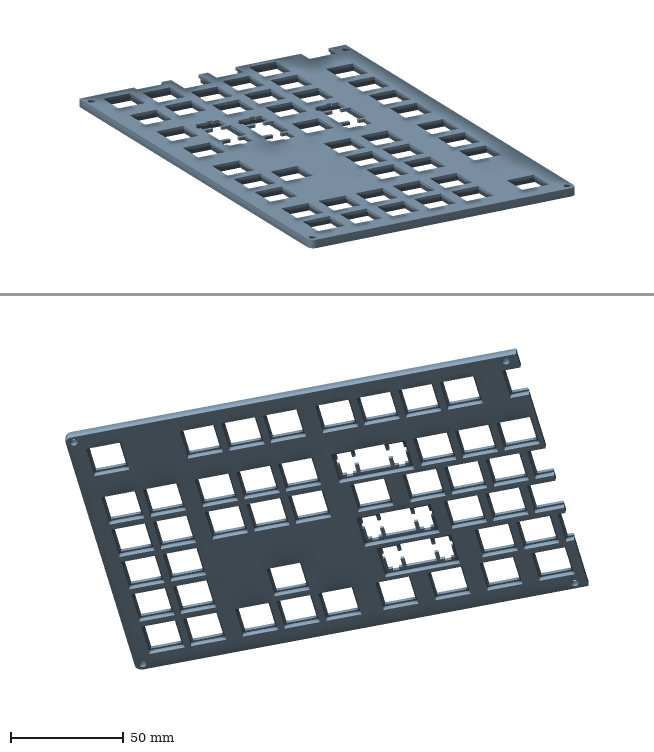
import cadquery as cq

LENGTH = 206.92
WIDTH = 136.63
THICKNESS = 4.0
CORNER_RADIUS = 3.0

UNIT = 19.05
SWITCH_SIZE = 14.0
CLIP_THICKNESS = 1.5
RELIEF_DEPTH = THICKNESS - CLIP_THICKNESS
RELIEF_SIZE = 16.0
GRID_HEIGHT_UNITS = 6.5
EDGE_MARGIN = (WIDTH - GRID_HEIGHT_UNITS * UNIT) / 2
LAST_COLUMN_X = LENGTH - EDGE_MARGIN - UNIT / 2
TOP_ROW_Y = WIDTH - EDGE_MARGIN - UNIT / 2

KEY_ROWS = [
    (0.0, [0, 2.25, 3.25, 4.25, 5.5, 6.5, 7.5, 8.5, 10]),
    (1.5, [0, 1, 2.25, 3.25, 4.25, 6, 7.5, 8.5, 9.5]),
    (2.5, [0, 1, 2.25, 3.25, 4.25, 5.75, 7, 8, 9, 10]),
    (3.5, [0, 1, 6.125, 7.75, 8.75, 9.75]),
    (4.5, [0, 1, 3.25, 6.375, 8.25, 9.25, 10.25]),
    (5.5, [0, 1, 2.25, 3.25, 4.25, 5.625, 6.875, 8.125, 9.375]),
]
STABILIZED_KEYS = [(6, 1.5), (6.125, 3.5), (6.375, 4.5)]

STAB_OFFSET = 11.9
STAB_WIDTH = 6.65
STAB_TOP = 5.53
STAB_BOTTOM = -6.77
STAB_FOOT_WIDTH = 3.0
STAB_FOOT_BOTTOM = -7.97
STAB_NOTCH_REACH = 16.1
STAB_NOTCH_TOP = 2.3
STAB_NOTCH_BOTTOM = -0.5
WIRE_SLOT_HEIGHT = 4.6

RELIEF_CLEARANCE = (RELIEF_SIZE - SWITCH_SIZE) / 2
STAB_RELIEF_REACH = STAB_NOTCH_REACH + RELIEF_CLEARANCE
STAB_RELIEF_TOP = RELIEF_SIZE / 2
STAB_RELIEF_BOTTOM = STAB_FOOT_BOTTOM - RELIEF_CLEARANCE

SCREW_DIAMETER = 3.4
SCREW_SIDE_INSET = 3.0
SCREW_LEFT_INSET = 5.5
SCREW_RIGHT_INSET = 3.5


def key_centre(units_left, units_down):
    return LAST_COLUMN_X - units_left * UNIT, TOP_ROW_Y - units_down * UNIT


def block(x_min, x_max, y_min, y_max, height=THICKNESS):
    """Box standing on the plane of the plate's underside."""
    size = (x_max - x_min, y_max - y_min, height)
    return cq.Workplane("XY").box(*size, centered=False).translate((x_min, y_min, 0))


def make_plate():
    plate = block(0, LENGTH, 0, WIDTH)
    return plate.edges("|Z and >X").fillet(CORNER_RADIUS)


def cut_switches(plate):
    centres = [key_centre(left, down) for down, row in KEY_ROWS for left in row]
    openings = (
        cq.Workplane("XY").pushPoints(centres)
        .rect(SWITCH_SIZE, SWITCH_SIZE).extrude(THICKNESS)
    )
    reliefs = (
        cq.Workplane("XY").pushPoints(centres)
        .rect(RELIEF_SIZE, RELIEF_SIZE).extrude(RELIEF_DEPTH)
    )
    return plate.cut(openings).cut(reliefs)


def stabilizer_cutter():
    """Both housings with feet and side notches, the wire slot between them and the relief."""
    cutter = block(
        -STAB_RELIEF_REACH, STAB_RELIEF_REACH,
        STAB_RELIEF_BOTTOM, STAB_RELIEF_TOP, RELIEF_DEPTH,
    )
    half_slot = WIRE_SLOT_HEIGHT / 2
    cutter = cutter.union(block(-STAB_OFFSET, STAB_OFFSET, -half_slot, half_slot))
    notches = block(-STAB_NOTCH_REACH, STAB_NOTCH_REACH, STAB_NOTCH_BOTTOM, STAB_NOTCH_TOP)
    cutter = cutter.union(notches)
    half_width = STAB_WIDTH / 2
    half_foot = STAB_FOOT_WIDTH / 2
    for x in (-STAB_OFFSET, STAB_OFFSET):
        cutter = cutter.union(block(x - half_width, x + half_width, STAB_BOTTOM, STAB_TOP))
        cutter = cutter.union(block(x - half_foot, x + half_foot, STAB_FOOT_BOTTOM, STAB_TOP))
    return cutter


def cut_stabilizers(plate):
    cutter = stabilizer_cutter()
    for left, down in STABILIZED_KEYS:
        x, y = key_centre(left, down)
        plate = plate.cut(cutter.translate((x, y, 0)))
    return plate


def cut_screw_holes(plate):
    centres = [
        (x, y)
        for x in (SCREW_LEFT_INSET, LENGTH - SCREW_RIGHT_INSET)
        for y in (SCREW_SIDE_INSET, WIDTH - SCREW_SIDE_INSET)
    ]
    holes = cq.Workplane("XY").pushPoints(centres).circle(SCREW_DIAMETER / 2).extrude(THICKNESS)
    return plate.cut(holes)


result = cut_screw_holes(cut_stabilizers(cut_switches(make_plate())))